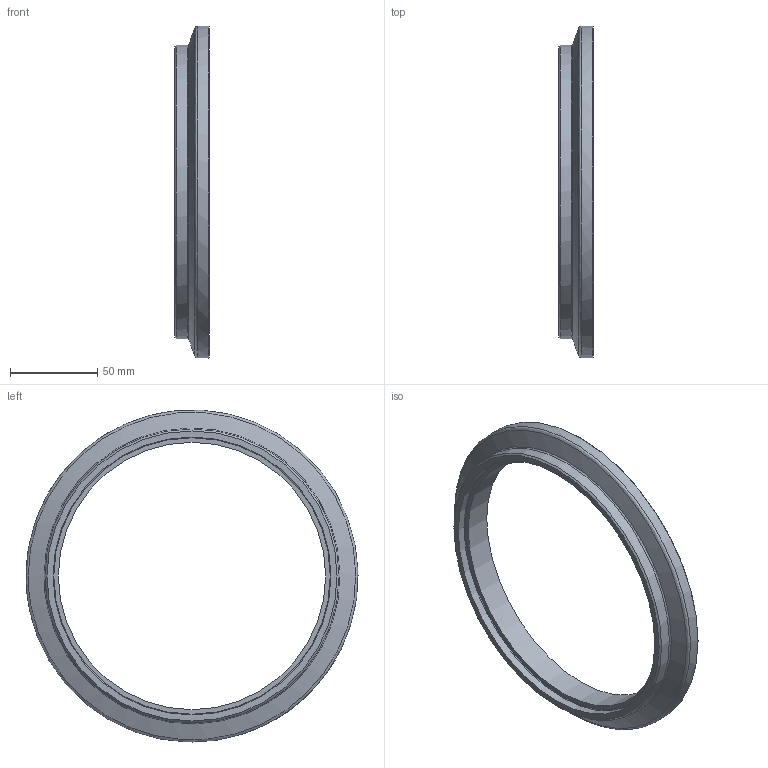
import cadquery as cq
import math

length = 20.0
rim_diameter = 190.0
hub_diameter = 168.0
bore_diameter = 153.0
counterbore_diameter = 159.0

hub_length = 8.0
counterbore_depth = 5.0
cone_angle = 20.0

hub_chamfer = 1.0
root_fillet = 1.0
shoulder_fillet = 2.0
back_chamfer = 0.5
counterbore_fillet = 0.4

rim_radius = rim_diameter / 2
hub_radius = hub_diameter / 2
bore_radius = bore_diameter / 2
counterbore_radius = counterbore_diameter / 2
cone_length = (rim_radius - hub_radius) * math.tan(math.radians(cone_angle))
shoulder_x = hub_length + cone_length


def circle_edge_at(x, radius):
    """Select the circular edge at a given axial position and radius."""
    tolerance = 0.01
    low = (x - tolerance, -radius - tolerance, -radius - tolerance)
    high = (x + tolerance, radius + tolerance, radius + tolerance)
    smaller = radius - tolerance
    inner_low = (x - tolerance, -smaller, -smaller)
    inner_high = (x + tolerance, smaller, smaller)
    in_outer_box = cq.selectors.BoxSelector(low, high, boundingbox=True)
    in_inner_box = cq.selectors.BoxSelector(inner_low, inner_high, boundingbox=True)
    return in_outer_box - in_inner_box


def turned_blank():
    """Revolve the sharp-cornered half section (X, radius) about the X axis."""
    section = (
        cq.Workplane("XY")
        .moveTo(0, counterbore_radius)
        .lineTo(0, hub_radius)
        .lineTo(hub_length, hub_radius)
        .lineTo(shoulder_x, rim_radius)
        .lineTo(length, rim_radius)
        .lineTo(length, bore_radius)
        .lineTo(counterbore_depth, bore_radius)
        .lineTo(counterbore_depth, counterbore_radius)
        .close()
    )
    return section.revolve(360, (0, 0, 0), (1, 0, 0))


def finish_edges(ring):
    """Break the outer corners, then round the conical flank ends and the counterbore floor."""
    ring = ring.edges(circle_edge_at(0, hub_radius)).chamfer(hub_chamfer)
    ring = ring.edges(circle_edge_at(length, rim_radius)).chamfer(back_chamfer)
    ring = ring.edges(circle_edge_at(hub_length, hub_radius)).fillet(root_fillet)
    ring = ring.edges(circle_edge_at(shoulder_x, rim_radius)).fillet(shoulder_fillet)
    return ring.edges(circle_edge_at(counterbore_depth, counterbore_radius)).fillet(counterbore_fillet)


result = finish_edges(turned_blank())